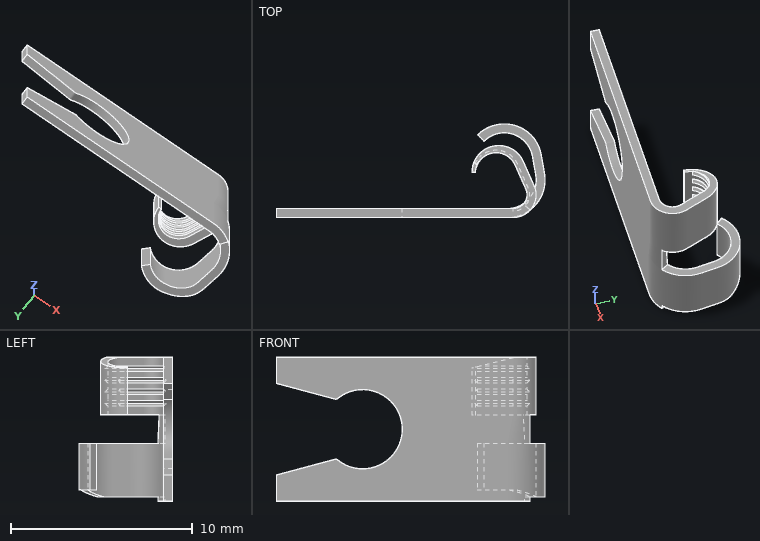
import cadquery as cq
import math


length = 14.78
height = 7.92
sheet = 0.5
plate_end_x = 11.94
mid_z = height / 2

hole_x = 4.75
hole_radius = 2.17
mouth_half_width = 2.51
mouth_slope = 15.0
throat_fillet = 0.18

hook_gap = 1.57
step_height = 0.22
step_x = 13.95

lower_radius = 2.07
lower_bend_x = length - lower_radius
lower_lean = 10.0
lower_straight = 1.03
lower_tip_angle = 135.0
lower_chamfer_start = 0.58
lower_chamfer_slope = 15.0
lower_tip_rise = 0.4

upper_radius = 1.25
upper_bend_x = 13.02
upper_lean = 24.0
upper_straight = 1.45
upper_roll_outer = 1.48
upper_roll_inner = 1.14
upper_chamfer_x = 13.15
upper_chamfer_slope = 14.0

groove_count = 4
groove_depth = 0.15
groove_end_angle = 155.0

lower_top_z = mid_z - hook_gap / 2
upper_bottom_z = mid_z + hook_gap / 2
upper_height = height - upper_bottom_z


def polar(center, radius, angle):
    """Point at a radius and an angle in degrees from a center."""
    turn = math.radians(angle)
    return (center[0] + radius * math.cos(turn), center[1] + radius * math.sin(turn))


def roll_center(bend, bend_radius, roll_radius, lean, straight):
    """Center of a roll tangent to the straight that leaves the bend at the lean angle."""
    start = polar(bend, bend_radius - roll_radius, lean)
    return polar(start, straight, lean + 90)


def extrude_z(profile, bottom, top):
    """Raise a closed XY profile between two levels."""
    return profile.extrude(top - bottom).translate((0, 0, bottom))


def arc_to(path, center, radius, start, end):
    """Add a circular arc between two angles, starting at the current point."""
    middle = polar(center, radius, (start + end) / 2)
    return path.threePointArc(middle, polar(center, radius, end))


def hook_profile(bend, lean, outer_roll, inner_roll):
    """Bend, straight and roll; each roll is (center, radius, tip angle)."""
    outer_radius = bend[1]
    inner_radius = outer_radius - sheet
    outer_center, outer_roll_radius, outer_tip = outer_roll
    inner_center, inner_roll_radius, inner_tip = inner_roll
    path = cq.Workplane("XY").moveTo(plate_end_x, 0).lineTo(bend[0], 0)
    path = arc_to(path, bend, outer_radius, -90, lean)
    path = path.lineTo(*polar(outer_center, outer_roll_radius, lean))
    path = arc_to(path, outer_center, outer_roll_radius, lean, outer_tip)
    path = path.lineTo(*polar(inner_center, inner_roll_radius, inner_tip))
    path = arc_to(path, inner_center, inner_roll_radius, inner_tip, lean)
    path = path.lineTo(*polar(bend, inner_radius, lean))
    path = arc_to(path, bend, inner_radius, lean, -90)
    return path.lineTo(plate_end_x, sheet).close()


def bend_start_profile(bend_x, radius):
    """Flat and start of a bend, cut off square to the sheet where its outer face reaches step_x."""
    center = (bend_x, radius)
    end = math.degrees(math.asin((step_x - bend_x) / radius)) - 90
    path = cq.Workplane("XY").moveTo(plate_end_x, 0).lineTo(bend_x, 0)
    path = arc_to(path, center, radius, -90, end)
    path = path.lineTo(*polar(center, radius - sheet, end))
    path = arc_to(path, center, radius - sheet, end, -90)
    return path.lineTo(plate_end_x, sheet).close()


def plate():
    """Flat plate with the keyhole slot cut through it."""
    body = cq.Workplane("XY").box(plate_end_x, sheet, height, centered=False)
    inner_half_width = mouth_half_width - hole_x * math.tan(math.radians(mouth_slope))
    slot = (
        cq.Workplane("XZ")
        .moveTo(0, mid_z - mouth_half_width)
        .lineTo(hole_x, mid_z - inner_half_width)
        .lineTo(hole_x, mid_z + inner_half_width)
        .lineTo(0, mid_z + mouth_half_width)
        .close()
        .extrude(-sheet)
    )
    hole = cq.Workplane("XZ").center(hole_x, mid_z).circle(hole_radius).extrude(-sheet)
    body = body.cut(slot).cut(hole)
    throat = cq.selectors.BoxSelector((hole_x - hole_radius, 0, 0), (hole_x, sheet, height))
    return body.edges("|Y").edges(throat).fillet(throat_fillet)


def lower_hook():
    """Tall hook, with its lower edge rising toward the tip."""
    bend = (lower_bend_x, lower_radius)
    center = roll_center(bend, lower_radius, lower_radius, lower_lean, lower_straight)
    profile = hook_profile(
        bend,
        lower_lean,
        (center, lower_radius, lower_tip_angle),
        (center, lower_radius - sheet, lower_tip_angle),
    )
    hook = extrude_z(profile, step_height, lower_top_z)
    run = lower_tip_rise / math.tan(math.radians(lower_chamfer_slope))
    tip_z = step_height + lower_tip_rise
    along_tip = polar((0, 0), 1, lower_tip_angle)
    tip_plane = cq.Plane(
        origin=(center[0], center[1], 0),
        xDir=(along_tip[0], along_tip[1], 0),
        normal=(along_tip[1], -along_tip[0], 0),
    )
    chamfer = (
        cq.Workplane(tip_plane)
        .moveTo(-lower_chamfer_start, step_height)
        .lineTo(run - lower_chamfer_start, tip_z)
        .lineTo(2 * lower_radius, tip_z)
        .lineTo(2 * lower_radius, step_height)
        .close()
        .extrude(lower_radius, both=True)
    )
    return hook.cut(chamfer)


def upper_hook():
    """Short hook, with its top edge falling toward the tip and grooves inside."""
    bend = (upper_bend_x, upper_radius)
    inner_bend = upper_radius - sheet
    outer_center = roll_center(bend, upper_radius, upper_roll_outer, upper_lean, upper_straight)
    inner_center = roll_center(bend, inner_bend, upper_roll_inner, upper_lean, upper_straight)
    tip_offset = outer_center[1] - inner_center[1]
    inner_tip = 180 - math.degrees(math.asin(tip_offset / upper_roll_inner))
    profile = hook_profile(
        bend,
        upper_lean,
        (outer_center, upper_roll_outer, 180),
        (inner_center, upper_roll_inner, inner_tip),
    )
    hook = extrude_z(profile, upper_bottom_z, height)

    drop = upper_chamfer_x * math.tan(math.radians(upper_chamfer_slope))
    chamfer = (
        cq.Workplane("XZ")
        .moveTo(upper_chamfer_x, height)
        .lineTo(0, height - drop)
        .lineTo(0, height)
        .close()
        .extrude(-2 * outer_center[1])
        .translate((0, bend[1], 0))
    )
    hook = hook.cut(chamfer)

    pitch = upper_height / (groove_count + 1)
    for index in range(groove_count):
        level = upper_bottom_z + pitch * (index + 1)
        hook = hook.cut(groove(bend, inner_bend, inner_center).translate((0, 0, level)))
    return hook


def groove(bend, bend_radius, center):
    """V groove cutter that follows the inside of the upper hook."""
    path = cq.Workplane("XY").moveTo(*polar(bend, bend_radius, -90))
    path = arc_to(path, bend, bend_radius, -90, upper_lean)
    path = path.lineTo(*polar(center, upper_roll_inner, upper_lean))
    path = arc_to(path, center, upper_roll_inner, upper_lean, groove_end_angle)
    back = bend[1] - bend_radius + groove_depth
    section = (
        cq.Workplane("YZ", origin=(bend[0], 0, 0))
        .moveTo(back - 2 * groove_depth, 0)
        .lineTo(back, 2 * groove_depth)
        .lineTo(back, -2 * groove_depth)
        .close()
    )
    return section.sweep(path)


def tab():
    """Curved tab in the gap, blending from the lower bend to the upper bend."""
    lower = bend_start_profile(lower_bend_x, lower_radius).wire().val()
    upper = bend_start_profile(upper_bend_x, upper_radius).wire().val()
    lower = lower.translate(cq.Vector(0, 0, lower_top_z))
    upper = upper.translate(cq.Vector(0, 0, upper_bottom_z))
    return cq.Workplane(cq.Solid.makeLoft([lower, upper], True))


def step_strip():
    """Start of the lower bend, left standing under the lower hook."""
    return extrude_z(bend_start_profile(lower_bend_x, lower_radius), 0, step_height)


result = plate().union(lower_hook()).union(upper_hook()).union(tab()).union(step_strip()).clean()